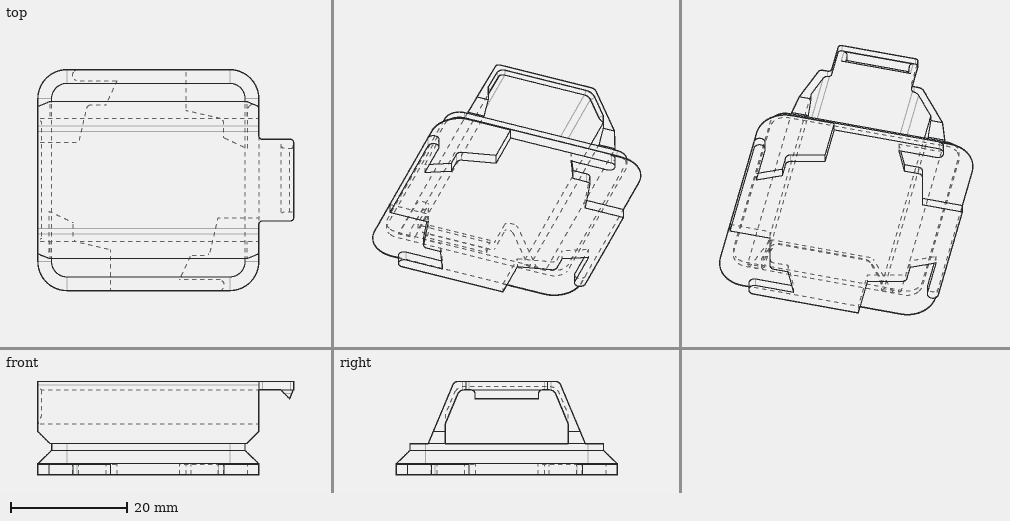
import cadquery as cq
import math

base_size = 38.0
half_base = base_size / 2
lock_height = 1.8
rim_height = 0.15
flange_corner_radius = 5.0
flange_inset = 2.38
flange_slope_height = 2.3
neck_height = 1.2
neck_z = lock_height + rim_height + flange_slope_height
deck_z = neck_z + neck_height
overlap = 0.05

relief_length = 12.55
arm_thickness = 1.95
arm_tip_start = 6.95
slot_wall = 6.05
slot_depth = 13.65
slot_floor_angle = 25
shoulder_depth = 7.05
shoulder_angle = 13
shoulder_radius = 0.85

total_height = 16.1
roof_half_width = 9.0
foot_half_width = 13.5
ridge_radius = 1.0
channel_half_width = 10.55
roof_thickness = 1.5
roof_inner_radius = 1.2
channel_slope_z = 8.75
mouth_chamfer = 0.55
mouth_slope_z = 10.4
foot_chamfer = 2.05
wall_lean = (foot_half_width - roof_half_width) / (total_height - deck_z)

tab_length = 44 - base_size
tab_width = 14.1
tab_corner_radius = 0.55
hook_length = 10.95
hook_height = 1.55
hook_back_gap = 0.1
hook_tip_gap = 0.7
hook_width = 2.1
hook_fillet = 0.6


def rounded_square(size, radius, z, height):
    block = cq.Workplane("XY").workplane(offset=z).rect(size, size).extrude(height)
    return block.edges("|Z").fillet(radius)


def corner_relief():
    """Clearance at the -X, -Y corner that frees an arm with a half-round tip along the -X side."""
    slope = math.tan(math.radians(shoulder_angle))
    floor_rise = (slot_wall - arm_thickness) * math.tan(math.radians(slot_floor_angle))
    arm_radius = arm_thickness / 2
    outline = (
        cq.Workplane("XY", origin=(-half_base, -half_base, 0))
        .lineTo(relief_length, 0)
        .lineTo(relief_length, shoulder_depth)
        .lineTo(slot_wall, shoulder_depth + slope * (relief_length - slot_wall))
        .lineTo(slot_wall, slot_depth - floor_rise)
        .lineTo(arm_thickness, slot_depth)
        .lineTo(arm_thickness, arm_tip_start)
        .threePointArc((arm_radius, arm_tip_start - arm_radius), (0, arm_tip_start))
        .close()
        .extrude(lock_height)
    )
    shoulder_corner = cq.selectors.NearestToPointSelector(
        (
            slot_wall - half_base,
            shoulder_depth + slope * (relief_length - slot_wall) - half_base,
            lock_height / 2,
        )
    )
    return outline.edges("|Z").edges(shoulder_corner).fillet(shoulder_radius)


def make_base():
    lock = cq.Workplane("XY").rect(base_size, base_size).extrude(lock_height)
    relief = corner_relief()
    for turn in range(4):
        lock = lock.cut(relief.rotate((0, 0, 0), (0, 0, 1), 90 * turn))
    flange = rounded_square(base_size, flange_corner_radius, lock_height, rim_height + flange_slope_height)
    flange = flange.faces(">Z").chamfer(flange_slope_height, flange_inset)
    neck = rounded_square(
        base_size - 2 * flange_inset,
        flange_corner_radius - flange_inset,
        neck_z - overlap,
        neck_height + overlap,
    )
    return lock.union(flange).union(neck)


def channel_profile(slope_z, ceiling_z):
    """Upright walls that lean inward above slope_z, parallel to the outer walls."""
    ceiling_half_width = channel_half_width - wall_lean * (ceiling_z - slope_z)
    return (
        cq.Workplane("YZ", origin=(-half_base, 0, 0))
        .moveTo(-channel_half_width, deck_z)
        .lineTo(channel_half_width, deck_z)
        .lineTo(channel_half_width, slope_z)
        .lineTo(ceiling_half_width, ceiling_z)
        .lineTo(-ceiling_half_width, ceiling_z)
        .lineTo(-channel_half_width, slope_z)
        .close()
    )


def make_tunnel():
    shell = (
        cq.Workplane("YZ", origin=(-half_base, 0, 0))
        .moveTo(-foot_half_width, deck_z)
        .lineTo(foot_half_width, deck_z)
        .lineTo(roof_half_width, total_height)
        .lineTo(-roof_half_width, total_height)
        .close()
        .extrude(base_size)
        .edges("|X and >Z")
        .fillet(ridge_radius)
    )
    shell = shell.faces("<Z").edges("|Y").chamfer(foot_chamfer)
    channel = channel_profile(channel_slope_z, total_height - roof_thickness).extrude(base_size)
    channel = channel.edges("|X and >Z").fillet(roof_inner_radius)
    mouth_ceiling_z = total_height - roof_thickness + mouth_chamfer
    mouth = channel_profile(mouth_slope_z, mouth_ceiling_z).extrude(mouth_chamfer + overlap)
    mouth = mouth.edges("|X and >Z").fillet(roof_inner_radius + mouth_chamfer)
    mouth = mouth.faces(">X").chamfer(mouth_chamfer)
    return shell.cut(channel).cut(mouth)


def make_tab():
    tab_z = total_height - roof_thickness
    tab = (
        cq.Workplane("XY", origin=(half_base, 0, tab_z))
        .center((tab_length - tab_corner_radius) / 2, 0)
        .rect(tab_length + tab_corner_radius, tab_width)
        .extrude(roof_thickness)
        .edges("|Z and >X")
        .fillet(tab_corner_radius)
    )
    for side in (-1, 1):
        root_fillet = (
            cq.Workplane("XY", origin=(half_base, side * tab_width / 2, tab_z))
            .lineTo(tab_corner_radius, 0)
            .radiusArc((0, side * tab_corner_radius), side * tab_corner_radius)
            .close()
            .extrude(roof_thickness)
        )
        tab = tab.union(root_fillet)
    return tab


def make_hook():
    """Wedge under the tab, with ends that flare into the tab by concave fillets."""
    hook_z = total_height - roof_thickness
    tip_x = half_base + tab_length
    half_length = hook_length / 2
    flared_half_length = half_length + hook_fillet
    wedge = (
        cq.Workplane("XZ", origin=(tip_x, flared_half_length, hook_z))
        .moveTo(-hook_back_gap, 0)
        .lineTo(-hook_tip_gap, -hook_height)
        .lineTo(-hook_back_gap - hook_width, 0)
        .close()
        .extrude(2 * flared_half_length)
    )
    flare = (
        cq.Workplane("YZ", origin=(half_base, 0, hook_z))
        .moveTo(-flared_half_length, 0)
        .radiusArc((-half_length, -hook_fillet), hook_fillet)
        .lineTo(-half_length, -hook_height)
        .lineTo(half_length, -hook_height)
        .lineTo(half_length, -hook_fillet)
        .radiusArc((flared_half_length, 0), hook_fillet)
        .close()
        .extrude(tab_length)
    )
    return wedge.intersect(flare)


result = make_base().union(make_tunnel()).union(make_tab()).union(make_hook())